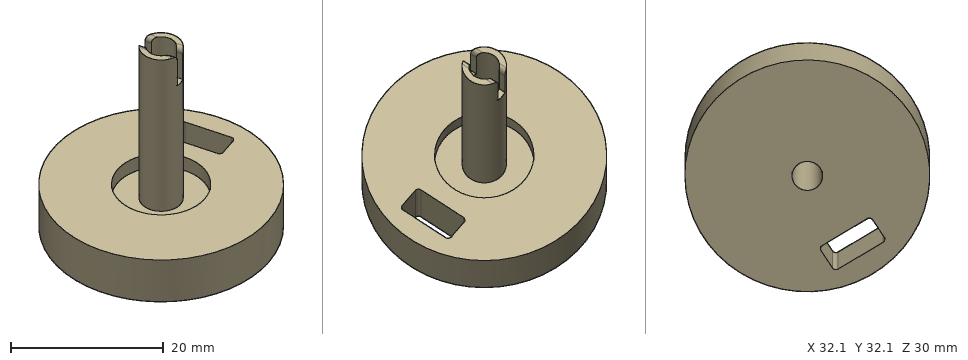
import cadquery as cq

disc_diameter = 32.1
disc_height = 7.0
recess_diameter = 13.0
recess_depth = 2.25

total_height = 30.0
post_diameter = 5.8
bore_diameter = 4.0

slot_width = 1.5
slot_depth = 5.0
slot_mouth_radius = 0.75

window_length = 8.0
window_width = 3.85
window_offset = 11.15
window_corner_radius = 0.5


def make_disc():
    """Flat disc with a round recess in its top face."""
    disc = cq.Workplane("XY").circle(disc_diameter / 2).extrude(disc_height)
    recess = (
        cq.Workplane("XY")
        .workplane(offset=disc_height - recess_depth)
        .circle(recess_diameter / 2)
        .extrude(recess_depth)
    )
    return disc.cut(recess)


def make_slot():
    """Slot cutter whose upper edges flare out as quarter rounds."""
    half_width = slot_width / 2
    mouth_half_width = half_width + slot_mouth_radius
    floor_z = total_height - slot_depth
    round_start_z = total_height - slot_mouth_radius
    return (
        cq.Workplane("YZ")
        .moveTo(-half_width, floor_z)
        .lineTo(half_width, floor_z)
        .lineTo(half_width, round_start_z)
        .radiusArc((mouth_half_width, total_height), slot_mouth_radius)
        .lineTo(-mouth_half_width, total_height)
        .radiusArc((-half_width, round_start_z), slot_mouth_radius)
        .close()
        .extrude(post_diameter / 2, both=True)
    )


def make_window():
    """Round-cornered window cutter, as tall as the disc."""
    return (
        cq.Workplane("XY")
        .center(0, window_offset)
        .rect(window_length, window_width)
        .extrude(disc_height)
        .edges("|Z")
        .fillet(window_corner_radius)
    )


post = cq.Workplane("XY").circle(post_diameter / 2).extrude(total_height)
bore = cq.Workplane("XY").circle(bore_diameter / 2).extrude(total_height)

result = make_disc().union(post).cut(bore).cut(make_slot()).cut(make_window())